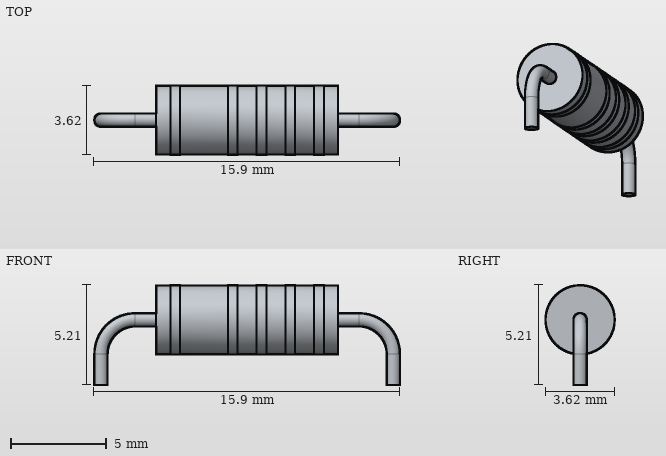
import cadquery as cq

overall_length = 15.94
overall_height = 5.21

body_length = 9.48
body_diameter = 3.6
band_diameter = 3.62
band_width = 0.51
outer_band_center = 3.75
band_pitch = 1.5
grouped_band_count = 4

lead_diameter = 0.7
bend_radius = 1.79
lead_axis_x = (overall_length - lead_diameter) / 2
bend_start_x = lead_axis_x - bend_radius
lead_bottom_z = band_diameter / 2 - overall_height


def x_cylinder(diameter, length, center_x):
    """Cylinder along X, centred at center_x."""
    return cq.Workplane("YZ", origin=(center_x - length / 2, 0, 0)).circle(diameter / 2).extrude(length)


def make_lead():
    """Right-hand lead: straight out of the body, a quarter bend, then straight down."""
    body_end_x = body_length / 2
    straight = cq.Workplane("YZ", origin=(body_end_x, 0, 0)).circle(lead_diameter / 2)
    straight = straight.extrude(bend_start_x - body_end_x)
    bend = cq.Workplane("YZ", origin=(bend_start_x, 0, 0)).circle(lead_diameter / 2)
    bend = bend.revolve(90, (0, -bend_radius, 0), (1, -bend_radius, 0))
    leg = cq.Workplane("XY", origin=(lead_axis_x, 0, lead_bottom_z)).circle(lead_diameter / 2)
    leg = leg.extrude(-bend_radius - lead_bottom_z)
    return straight.union(bend).union(leg)


band_centers = [-outer_band_center]
for index in range(grouped_band_count):
    band_centers.append(outer_band_center - index * band_pitch)

body = x_cylinder(body_diameter, body_length, 0)
for center_x in band_centers:
    body = body.union(x_cylinder(band_diameter, band_width, center_x))

lead = make_lead()
result = body.union(lead).union(lead.mirror("YZ"))